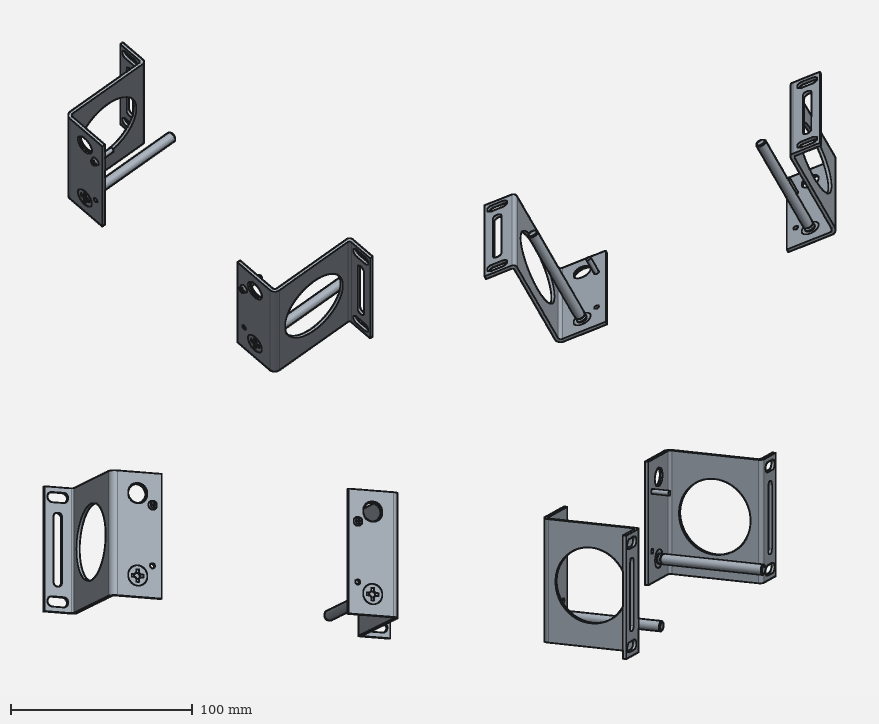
import cadquery as cq

overall_width = 204.5
height = 70.0

bracket_width = 47.0
bracket_depth = 57.9
sheet = 2.0
rear_flange_length = 18.8
front_outer_radius = 3.7
rear_inner_radius = 1.2
rear_outer_radius = 2.2

slot_inset = 7.8
short_slot_length = 12.3
short_slot_height = 5.7
short_slot_edge_distance = 5.7
long_slot_length = 41.5
long_slot_width = 5.1

window_diameter = 43.0
window_front_distance = 29.5
pin_hole_inset = 14.3
pin_hole_edge_distance = 11.9
countersink_diameter = 11.5
countersink_depth = 0.92
pin_hole_diameter = 10.5
screw_hole_inset = 5.5
screw_hole_edge_distance = 18.0
screw_hole_diameter = 2.9

pin_diameter = 6.0
pin_rear_overhang = 7.2
pin_chamfer = 0.6
pin_collar_length = 0.6
pin_groove_diameter = 3.9
pin_groove_length = 1.8
pin_head_sink = 0.1
pin_recess_span = 7.0
pin_recess_width = 1.6
pin_recess_depth = 0.8
pin_hub_diameter = 3.5
pin_hub_depth = 1.5

screw_head_diameter = 5.1
screw_head_rim_diameter = 4.0
screw_head_top_diameter = 3.7
screw_head_height = 1.8
screw_rim_height = 1.2
screw_projection = 10.2
screw_recess_span = 3.3
screw_recess_width = 0.5
screw_recess_depth = 0.8

left = -overall_width / 2
flange_tip = left + bracket_width
web_outer = left + rear_flange_length - sheet
web_inner = left + rear_flange_length
slot_x = left + slot_inset
pin_x = flange_tip - pin_hole_inset
screw_x = flange_tip - screw_hole_inset
pin_z = pin_hole_edge_distance
screw_z = height - screw_hole_edge_distance
front_inner_radius = front_outer_radius - sheet


def turned(points, x, z):
    """Revolve (radius, y) points about the axis through (x, z) that runs along Y."""
    profile = cq.Workplane("XY").polyline(points).close()
    return profile.revolve(360, (0, 0, 0), (0, 1, 0)).translate((x, 0, z))


def rod(diameter, y_start, y_end, x, z):
    """Cylinder along Y between two depths."""
    circle = cq.Workplane("XZ", origin=(x, y_start, z)).circle(diameter / 2)
    return circle.extrude(y_start - y_end)


def cross_recess(span, width, depth, y_face, x, z):
    """Plus-shaped driver recess, cut inward from the face at y_face."""
    center = (x, y_face + depth / 2, z)
    bar = cq.Workplane("XY").box(span, depth, width).translate(center)
    post = cq.Workplane("XY").box(width, depth, span).translate(center)
    return bar.union(post)


def make_sheet():
    """Bent sheet with its three flats and two bends."""
    outline = (
        cq.Workplane("XY")
        .moveTo(left, bracket_depth)
        .lineTo(web_inner, bracket_depth)
        .lineTo(web_inner, sheet)
        .lineTo(flange_tip, sheet)
        .lineTo(flange_tip, 0)
        .lineTo(web_outer, 0)
        .lineTo(web_outer, bracket_depth - sheet)
        .lineTo(left, bracket_depth - sheet)
        .close()
        .extrude(height)
    )
    bends = (
        (web_outer, 0, front_outer_radius),
        (web_inner, sheet, front_inner_radius),
        (web_inner, bracket_depth, rear_outer_radius),
        (web_outer, bracket_depth - sheet, rear_inner_radius),
    )
    for x, y, radius in bends:
        corner = cq.selectors.NearestToPointSelector((x, y, height / 2))
        outline = outline.edges(corner).fillet(radius)
    return outline


def slot_cutter(length, width, angle, z):
    """Obround cutter through the rear flange."""
    plane = cq.Workplane("XZ", origin=(slot_x, bracket_depth, z))
    return plane.slot2D(length, width, angle).extrude(sheet)


def pin_hole(z, face=0):
    """Countersunk opening through the front flange, starting at depth `face`."""
    narrow = pin_hole_diameter / 2
    slope = (countersink_diameter / 2 - narrow) / countersink_depth
    mouth = narrow + slope * (countersink_depth - face)
    profile = [(0, face), (mouth, face), (narrow, countersink_depth), (narrow, sheet), (0, sheet)]
    return turned(profile, pin_x, z)


def make_bracket():
    bracket = make_sheet()
    for z in (short_slot_edge_distance, height - short_slot_edge_distance):
        bracket = bracket.cut(slot_cutter(short_slot_length, short_slot_height, 0, z))
    bracket = bracket.cut(slot_cutter(long_slot_length, long_slot_width, 90, height / 2))
    window = (
        cq.Workplane("YZ", origin=(web_outer, window_front_distance, height / 2))
        .circle(window_diameter / 2)
        .extrude(sheet)
    )
    bracket = bracket.cut(window)
    for z in (pin_z, height - pin_z):
        bracket = bracket.cut(pin_hole(z))
    for z in (screw_z, height - screw_z):
        bracket = bracket.cut(rod(screw_hole_diameter, 0, sheet, screw_x, z))
    return bracket


def make_pin():
    """Long pin with a groove near its root and a countersunk head that fills its hole."""
    radius = pin_diameter / 2
    groove = pin_groove_diameter / 2
    groove_start = sheet + pin_collar_length
    groove_end = groove_start + pin_groove_length
    end = bracket_depth + pin_rear_overhang
    shank = turned(
        [
            (0, sheet),
            (radius, sheet),
            (radius, groove_start),
            (groove, (groove_start + groove_end) / 2),
            (radius, groove_end),
            (radius, end - pin_chamfer),
            (radius - pin_chamfer, end),
            (0, end),
        ],
        pin_x,
        pin_z,
    )
    face = pin_head_sink
    cross = cross_recess(pin_recess_span, pin_recess_width, pin_recess_depth, face, pin_x, pin_z)
    hub = rod(pin_hub_diameter, face, face + pin_hub_depth, pin_x, pin_z)
    return pin_hole(pin_z, face).union(shank).cut(cross).cut(hub)


def make_screw():
    """Small screw whose tapered head sits on the front flange."""
    base = screw_head_diameter / 2
    rim = screw_head_rim_diameter / 2
    top = screw_head_top_diameter / 2
    face = -screw_head_height
    profile = [(0, 0), (base, 0), (rim, -screw_rim_height), (top, face), (0, face)]
    head = turned(profile, screw_x, screw_z)
    shank = rod(screw_hole_diameter, 0, sheet + screw_projection, screw_x, screw_z)
    recess = cross_recess(
        screw_recess_span, screw_recess_width, screw_recess_depth, face, screw_x, screw_z
    )
    return head.union(shank).cut(recess)


bodies = []
for make_body in (make_bracket, make_pin, make_screw):
    body = make_body()
    bodies.append(body.val())
    bodies.append(body.mirror("YZ").val())

result = cq.Compound.makeCompound(bodies)